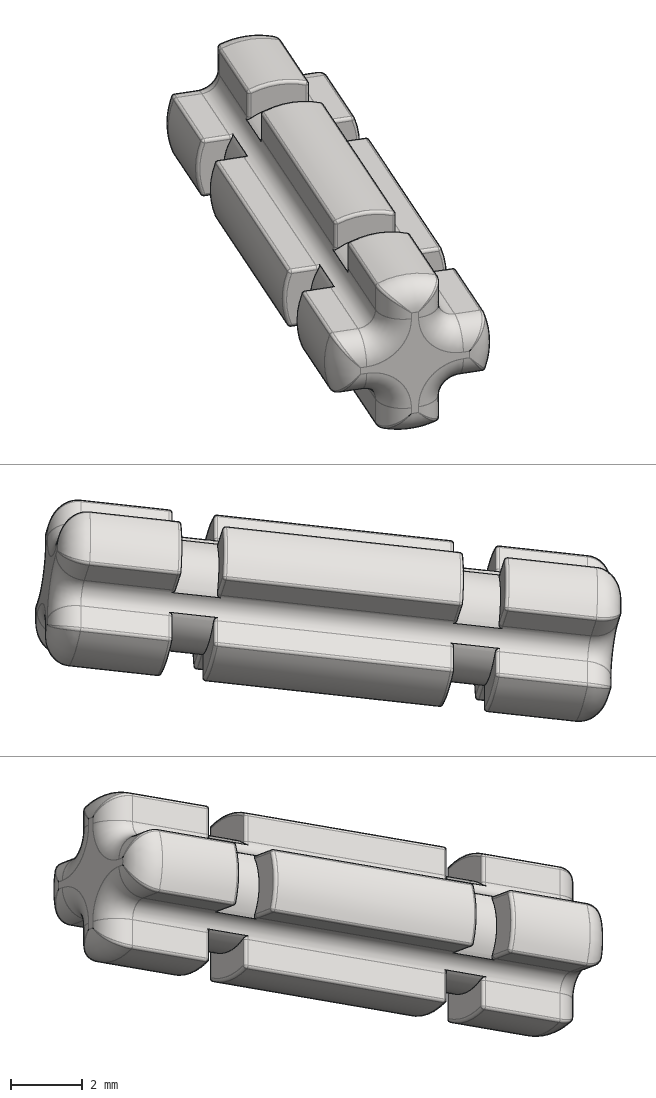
import cadquery as cq
import math

LENGTH = 16.0
OUTER_RADIUS = 2.4
ARM_WIDTH = 1.8
INNER_CORNER_RADIUS = 0.51
END_ROUND = 0.8
EDGE_ROUND = 0.1
GROOVE_RADIUS = 1.6
GROOVE_WIDTH = 1.18
GROOVE_CENTRE = 4.0
TRIM_ALLOWANCE = 0.8
TOLERANCE = 0.008

HALF_LENGTH = LENGTH / 2
HALF_ARM = ARM_WIDTH / 2
ARM_BLANK = OUTER_RADIUS + TRIM_ALLOWANCE
FLANK_START = HALF_ARM + INNER_CORNER_RADIUS
INNER_ARC_MIDDLE = FLANK_START - INNER_CORNER_RADIUS / math.sqrt(2)
GROOVE_OFFSET = HALF_LENGTH - GROOVE_CENTRE
GROOVE_WALLS = [
    GROOVE_OFFSET - GROOVE_WIDTH / 2,
    GROOVE_OFFSET + GROOVE_WIDTH / 2,
]


def turned(y, z, quarter_turns):
    """Turn a point of the cross-section about the bar's axis."""
    for _ in range(quarter_turns):
        y, z = -z, y
    return (y, z)


def section(x):
    """Workplane across the bar's axis at the given position."""
    return cq.Workplane("YZ", origin=(x, 0, 0))


def cross_blank():
    """Cross-shaped bar with overlong arms, its flanks and inner corners rounded into the ends."""
    profile = section(-HALF_LENGTH).moveTo(ARM_BLANK, -HALF_ARM)
    for turn in range(4):
        profile = (
            profile.lineTo(*turned(ARM_BLANK, HALF_ARM, turn))
            .lineTo(*turned(FLANK_START, HALF_ARM, turn))
            .threePointArc(
                turned(INNER_ARC_MIDDLE, INNER_ARC_MIDDLE, turn),
                turned(HALF_ARM, FLANK_START, turn),
            )
            .lineTo(*turned(HALF_ARM, ARM_BLANK, turn))
        )
    blank = profile.close().extrude(LENGTH)

    inside_tips = cq.selectors.BoxSelector(
        (-LENGTH, -OUTER_RADIUS, -OUTER_RADIUS),
        (LENGTH, OUTER_RADIUS, OUTER_RADIUS),
    )
    return blank.faces("<X or >X").edges(inside_tips).fillet(END_ROUND)


def round_envelope():
    """Round-ended cylinder that gives the arms their crowned outer faces."""
    return section(-HALF_LENGTH).circle(OUTER_RADIUS).extrude(LENGTH).edges().fillet(END_ROUND)


def soften_arm_edges(bar):
    """Round the long arm corners; the rounds run on along the mitres at both ends."""
    corners = bar.edges("|X").filter(lambda edge: axis_distance(edge) > OUTER_RADIUS - TOLERANCE)
    return bar.newObject(corners.vals()).fillet(EDGE_ROUND)


def groove_ring(x_centre):
    """Ring that cuts a groove across all four arms, down to a round core."""
    ring = section(x_centre - GROOVE_WIDTH / 2).circle(ARM_BLANK).circle(GROOVE_RADIUS)
    return ring.extrude(GROOVE_WIDTH)


def axis_distance(edge):
    """Largest distance of an edge's ends from the bar's axis."""
    return max(math.hypot(end.y, end.z) for end in (edge.startPoint(), edge.endPoint()))


def is_groove_rim(edge):
    """True for an edge that borders a groove wall and reaches outside the round core."""
    if axis_distance(edge) < GROOVE_RADIUS + TOLERANCE:
        return False
    ends = (abs(edge.startPoint().x), abs(edge.endPoint().x))
    return any(max(abs(x - wall) for x in ends) < TOLERANCE for wall in GROOVE_WALLS)


def soften_groove_rims(bar):
    """Round the rims where the groove walls meet the arms' outer faces and flanks."""
    return bar.newObject(bar.edges().filter(is_groove_rim).vals()).fillet(EDGE_ROUND)


bar = soften_arm_edges(cross_blank().intersect(round_envelope()))
for side in (-1, 1):
    bar = bar.cut(groove_ring(side * GROOVE_OFFSET))

result = soften_groove_rims(bar)